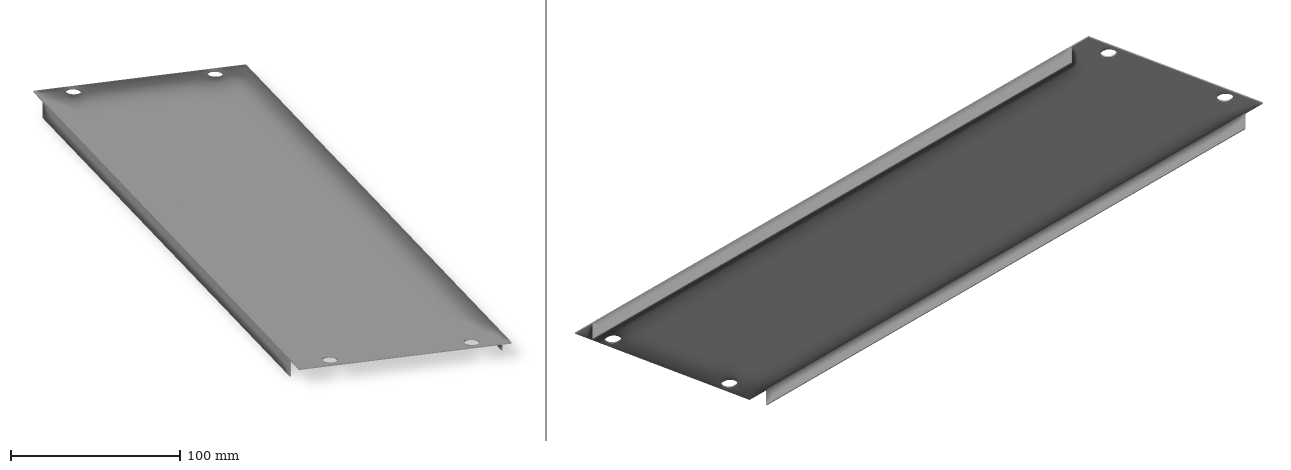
import cadquery as cq

length = 482.0
width = 133.0
height = 11.0
thickness = 0.8

flange_length = 448.7

slot_spacing_x = 465.0
slot_spacing_y = 88.5
slot_length = 10.0
slot_width = 8.5


def make_panel():
    return cq.Workplane("XY").box(length, width, thickness, centered=(True, True, False)).translate(
        (0, 0, height - thickness)
    )


def make_flange(side):
    """Downturned edge strip, flush with the panel edge on side +1 or -1 in Y."""
    flange = cq.Workplane("XY").box(flange_length, thickness, height, centered=(True, True, False))
    return flange.translate((0, side * (width - thickness) / 2, 0))


def make_slots():
    return (
        cq.Workplane("XY")
        .rarray(slot_spacing_x, slot_spacing_y, 2, 2)
        .slot2D(slot_length, slot_width)
        .extrude(height)
    )


result = make_panel()
for side in (-1, 1):
    result = result.union(make_flange(side))
result = result.cut(make_slots()).clean()